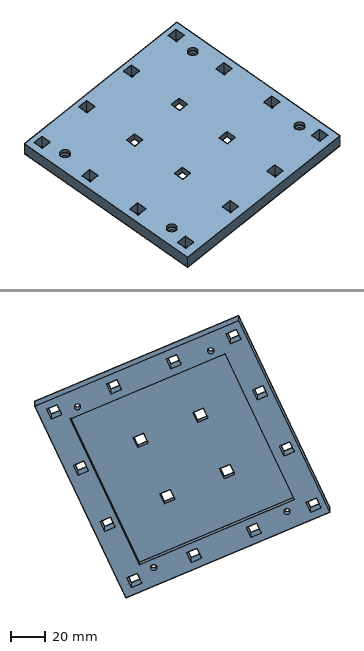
import cadquery as cq

side = 130.0
thickness = 8.8

window = 6.6
window_pitch = 38.1
window_count = 4
grid_offset_x = -1.0

screw_spacing_x = 85.0
screw_spacing_y = 109.0
screw_diameter = 3.6
head_diameter = 6.2
head_depth = 2.6
cone_diameter = 5.5
cone_depth = (cone_diameter - screw_diameter) / 2

pocket_side = 98.8
web_thickness = 4.4
pocket_depth = thickness - web_thickness


def make_plate():
    plate = cq.Workplane("XY").box(side, side, thickness, centered=(True, True, False))
    pocket = cq.Workplane("XY").box(pocket_side, pocket_side, pocket_depth, centered=(True, True, False))
    return plate.cut(pocket)


def make_windows():
    return (
        cq.Workplane("XY")
        .center(grid_offset_x, 0)
        .rarray(window_pitch, window_pitch, window_count, window_count)
        .rect(window, window)
        .extrude(thickness)
    )


def make_screw_hole():
    """Solid of one sunk screw hole on the Z axis, revolved from its half section."""
    shank_radius = screw_diameter / 2
    head_radius = head_diameter / 2
    cone_top = thickness - head_depth
    half_section = [
        (0, 0),
        (shank_radius, 0),
        (shank_radius, cone_top - cone_depth),
        (cone_diameter / 2, cone_top),
        (head_radius, cone_top),
        (head_radius, thickness),
        (0, thickness),
    ]
    return cq.Workplane("XZ").polyline(half_section).close().revolve(360, (0, 0), (0, 1))


result = make_plate().cut(make_windows())
screw_hole = make_screw_hole()
for x in (-screw_spacing_x / 2, screw_spacing_x / 2):
    for y in (-screw_spacing_y / 2, screw_spacing_y / 2):
        result = result.cut(screw_hole.translate((x, y, 0)))